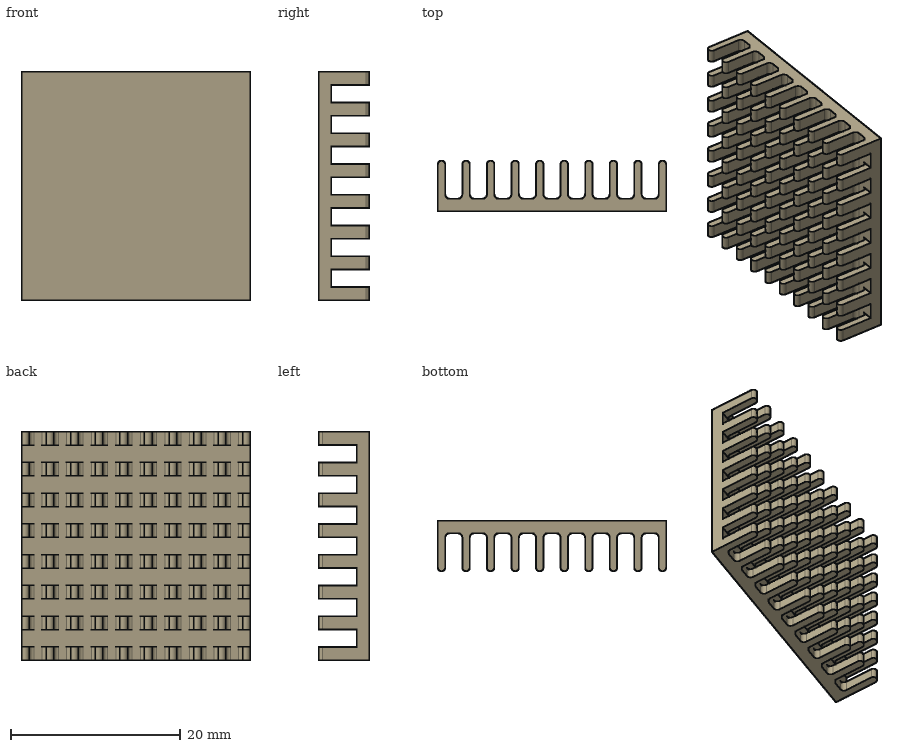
import cadquery as cq

side = 27.0
total_depth = 6.0
base_thickness = 1.5

columns = 10
rows = 8
channel_width = 2.0
fin_height = 1.6
root_radius = 0.5

fin_thickness = (side - (columns - 1) * channel_width) / columns
tip_radius = fin_thickness / 2
column_pitch = fin_thickness + channel_width
row_pitch = (side - fin_height) / (rows - 1)
slot_height = row_pitch - fin_height
first_fin_x = (fin_thickness - side) / 2
first_slot_z = (row_pitch - side + fin_height) / 2

TOLERANCE = 0.0003


def base_plate():
    return cq.Workplane("XY").box(side, base_thickness, side, centered=(True, False, True))


def fin(x):
    """Full-height fin centred on x, with a fully rounded tip."""
    left = x - tip_radius
    right = x + tip_radius
    shoulder = total_depth - tip_radius
    return (
        cq.Workplane("XY")
        .moveTo(left, 0)
        .lineTo(right, 0)
        .lineTo(right, shoulder)
        .threePointArc((x, total_depth), (left, shoulder))
        .close()
        .extrude(side / 2, both=True)
    )


def at_channel_floor(edge):
    """True for the inside corners where fin walls meet the base plate."""
    center = edge.Center()
    on_floor = abs(center.y - base_thickness) < TOLERANCE
    return on_floor and abs(center.x) < side / 2 - TOLERANCE


def row_slot(z):
    """Square-cornered cross slot centred on z, cut down to the base plate."""
    return (
        cq.Workplane("XY")
        .box(side, total_depth, slot_height, centered=(True, False, True))
        .translate((0, base_thickness, z))
    )


comb = base_plate()
for column in range(columns):
    comb = comb.union(fin(first_fin_x + column * column_pitch))
comb = comb.clean()

floor_corners = comb.edges("|Z").filter(at_channel_floor)
result = floor_corners.fillet(root_radius)

for gap in range(rows - 1):
    result = result.cut(row_slot(first_slot_z + gap * row_pitch))